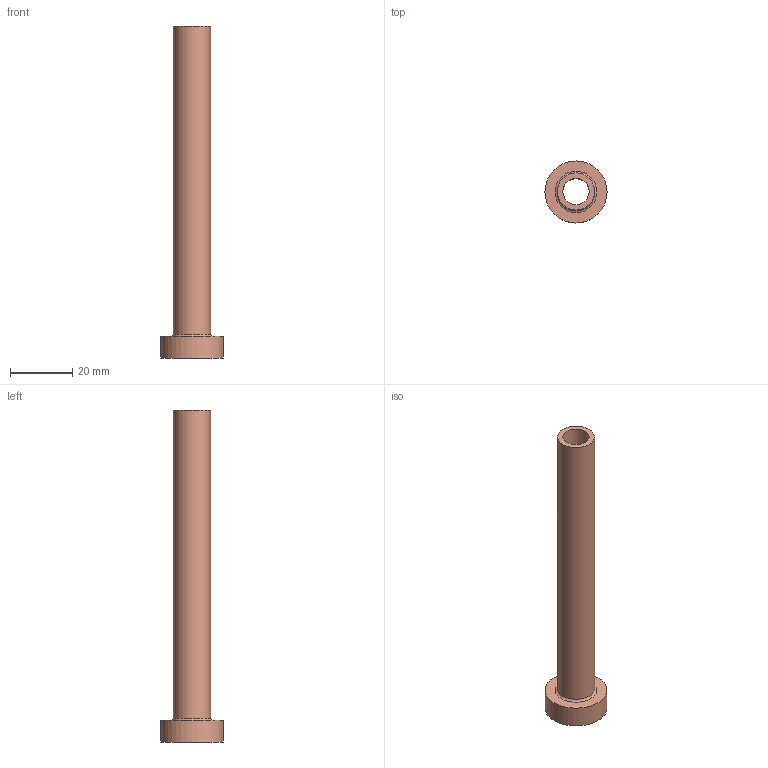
import cadquery as cq

TOTAL_HEIGHT = 107.0
HEAD_HEIGHT = 7.0
HEAD_DIAMETER = 20.0
TUBE_DIAMETER = 12.0
BORE_DIAMETER = 8.5
NECK_FILLET = 0.7

bore_radius = BORE_DIAMETER / 2
tube_radius = TUBE_DIAMETER / 2
head_radius = HEAD_DIAMETER / 2


def sleeve():
    """Flanged tube with its axis on Z, a filleted neck and a through bore."""
    neck_top_height = HEAD_HEIGHT + NECK_FILLET
    half_section = (
        cq.Workplane("XZ")
        .moveTo(bore_radius, 0)
        .lineTo(head_radius, 0)
        .lineTo(head_radius, HEAD_HEIGHT)
        .lineTo(tube_radius + NECK_FILLET, HEAD_HEIGHT)
        .radiusArc((tube_radius, neck_top_height), NECK_FILLET)
        .lineTo(tube_radius, TOTAL_HEIGHT)
        .lineTo(bore_radius, TOTAL_HEIGHT)
        .close()
    )
    return half_section.revolve(360, (0, 0, 0), (0, 1, 0))


result = sleeve()